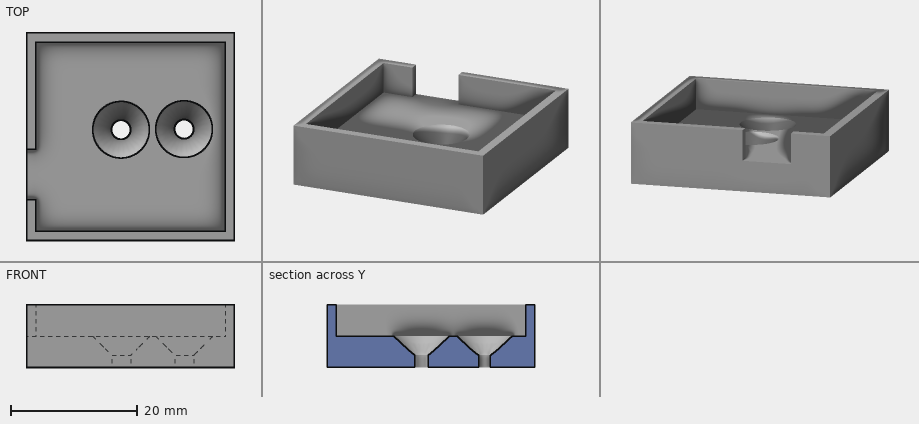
import cadquery as cq

SIDE = 33.0
HEIGHT = 10.0
WALL = 1.5
FLOOR_THICKNESS = 5.0

NOTCH_WIDTH = 8.0
NOTCH_CENTER_Y = -6.0
NOTCH_DEPTH = 5.0

HOLE_DIAMETER = 3.0
SINK_DIAMETER = 9.0
SINK_DEPTH = 3.0
HOLE_CENTERS = [(-1.5, 1.1), (8.5, 1.2)]


def make_tray():
    """Square block with an open pocket, base at Z = 0."""
    pocket_side = SIDE - 2 * WALL
    block = cq.Workplane("XY").box(SIDE, SIDE, HEIGHT, centered=(True, True, False))
    pocket = (
        cq.Workplane("XY")
        .workplane(offset=FLOOR_THICKNESS)
        .rect(pocket_side, pocket_side)
        .extrude(HEIGHT - FLOOR_THICKNESS)
    )
    return block.cut(pocket)


def make_notch():
    """Rectangular cutter that opens the -X wall from its rim."""
    return (
        cq.Workplane("XY")
        .workplane(offset=HEIGHT - NOTCH_DEPTH)
        .center((WALL - SIDE) / 2, NOTCH_CENTER_Y)
        .rect(WALL, NOTCH_WIDTH)
        .extrude(NOTCH_DEPTH)
    )


def make_countersunk_hole(x, y):
    """Through-hole cutter widening to a cone at the pocket floor."""
    hole_radius = HOLE_DIAMETER / 2
    sink_radius = SINK_DIAMETER / 2
    profile = [
        (0, 0),
        (hole_radius, 0),
        (hole_radius, FLOOR_THICKNESS - SINK_DEPTH),
        (sink_radius, FLOOR_THICKNESS),
        (0, FLOOR_THICKNESS),
    ]
    cutter = cq.Workplane("XZ").polyline(profile).close().revolve(360, (0, 0), (0, 1))
    return cutter.translate((x, y, 0))


result = make_tray().cut(make_notch())
for center_x, center_y in HOLE_CENTERS:
    result = result.cut(make_countersunk_hole(center_x, center_y))